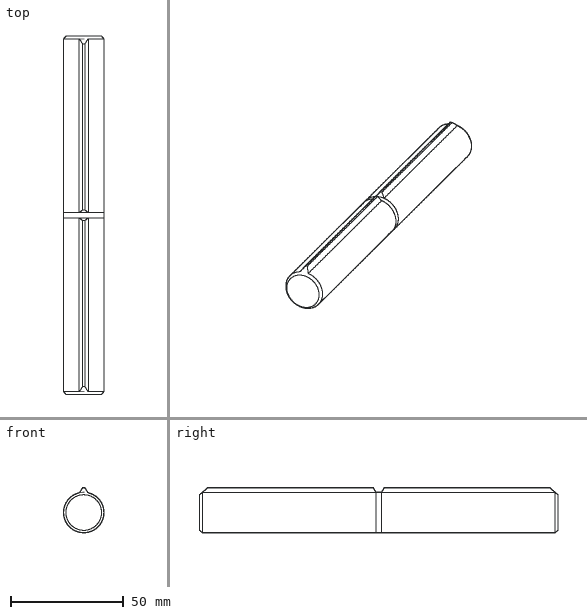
import cadquery as cq
import math


hinge_length = 159.0
barrel_diameter = 18.0
barrel_radius = barrel_diameter / 2

spacer_thickness = 2.5

barrel_length = (hinge_length - spacer_thickness) / 2
chamfer_depth = 1.1
chamfer_run = 1.25

ridge_height = 11.0
ridge_tip_width = 1.0
ridge_base_width = 4.0
inner_bevel_run = 1.1


def teardrop_blank():
    """Round barrel with a tapered ridge on top, standing on the XY plane."""
    base_half = ridge_base_width / 2
    tip_half = ridge_tip_width / 2
    base_height = math.sqrt(barrel_radius**2 - base_half**2)
    return (
        cq.Workplane("XY")
        .moveTo(-base_half, base_height)
        .lineTo(-tip_half, ridge_height)
        .lineTo(tip_half, ridge_height)
        .lineTo(base_half, base_height)
        .threePointArc((0, -barrel_radius), (-base_half, base_height))
        .close()
        .extrude(barrel_length)
    )


def bevel_envelope():
    """Turned envelope whose cones bevel both ends of the barrel and its ridge."""
    tip_radius = math.hypot(ridge_height, ridge_tip_width / 2)
    end_radius = barrel_radius - chamfer_depth
    outer_run = (tip_radius - end_radius) * chamfer_run / chamfer_depth
    return (
        cq.Workplane("XZ")
        .moveTo(0, 0)
        .lineTo(barrel_radius, 0)
        .lineTo(tip_radius, inner_bevel_run)
        .lineTo(tip_radius, barrel_length - outer_run)
        .lineTo(end_radius, barrel_length)
        .lineTo(0, barrel_length)
        .close()
        .revolve(360, (0, 0, 0), (0, 1, 0))
    )


def make_barrel(front):
    """Barrel on the -Y side of the spacer if front, otherwise on the +Y side."""
    barrel = (
        teardrop_blank()
        .intersect(bevel_envelope())
        .rotate((0, 0, 0), (1, 0, 0), 90)
        .translate((0, -spacer_thickness / 2, 0))
    )
    return barrel if front else barrel.mirror("XZ")


def make_spacer():
    """Plain disc between the two barrels."""
    front_face = cq.Workplane("XZ", origin=(0, -spacer_thickness / 2, 0))
    return front_face.circle(barrel_radius).extrude(-spacer_thickness)


barrels = [make_barrel(front) for front in (True, False)]
spacer = make_spacer()

result = cq.Compound.makeCompound([*(barrel.val() for barrel in barrels), spacer.val()])